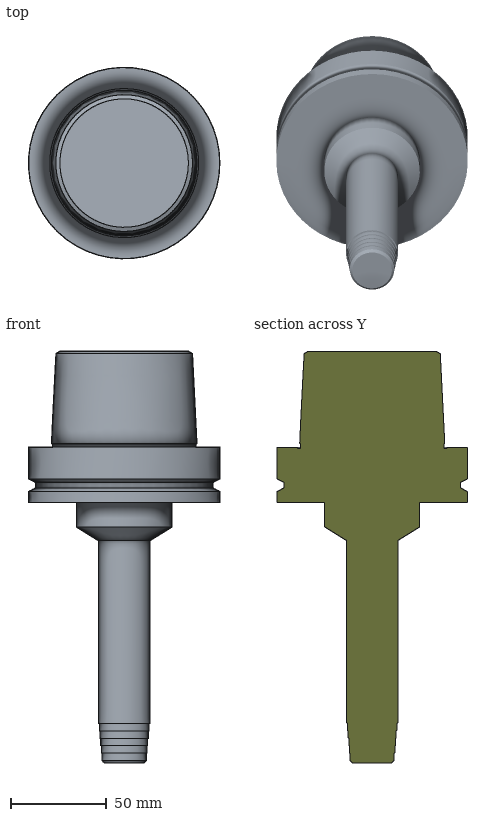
import cadquery as cq

total_height = 215.0

spigot_length = 50.0
spigot_top_radius = 35.7
taper_per_length = 1 / 20
top_chamfer_width = 2.1
top_chamfer_height = 1.3
relief_height = 2.0
relief_depth = 0.5
face_groove_radius = 39.0
face_groove_depth = 0.6

flange_diameter = 100.0
flange_height = 29.0
groove_top_offset = 16.5
groove_width = 6.7
groove_depth = 3.7
groove_flank_height = 2.0

neck_radius = 25.0
neck_length = 12.7
neck_cone_height = 7.0

shank_radius = 13.5
tip_end_radius = 11.5
tip_ring_count = 5
tip_ring_height = 3.9
tip_ring_step = 0.35
tip_chamfer_height = 1.3
tip_chamfer_width = 1.3

flange_radius = flange_diameter / 2
flange_top = total_height - spigot_length
flange_bottom = flange_top - flange_height
neck_bottom = flange_bottom - neck_length
neck_cone_bottom = neck_bottom - neck_cone_height


def tip_outline():
    """Chamfered end, then equal rings that each step out a little, up to the shank shoulder."""
    points = [(0, 0), (tip_end_radius - tip_chamfer_width, 0)]
    for ring in range(tip_ring_count):
        radius = tip_end_radius + ring * tip_ring_step
        bottom = tip_chamfer_height + ring * tip_ring_height
        points.append((radius, bottom))
        points.append((radius, bottom + tip_ring_height))
    points.append((shank_radius, tip_chamfer_height + tip_ring_count * tip_ring_height))
    return points


def shank_and_neck_outline():
    """Plain shank widening through a cone into the neck."""
    return [
        (shank_radius, neck_cone_bottom),
        (neck_radius, neck_bottom),
        (neck_radius, flange_bottom),
    ]


def flange_outline():
    """Flange rim with the gripper groove, then the ring groove in its top face."""
    groove_top = flange_top - groove_top_offset
    groove_bottom = groove_top - groove_width
    groove_radius = flange_radius - groove_depth
    return [
        (flange_radius, flange_bottom),
        (flange_radius, groove_bottom),
        (groove_radius, groove_bottom + groove_flank_height),
        (groove_radius, groove_top - groove_flank_height),
        (flange_radius, groove_top),
        (flange_radius, flange_top),
        (face_groove_radius, flange_top),
        (face_groove_radius, flange_top - face_groove_depth),
    ]


def spigot_outline():
    """Relief at the root, the long taper and the top chamfer."""
    taper_top = total_height - top_chamfer_height
    taper_bottom = flange_top + relief_height
    base_radius = spigot_top_radius + (taper_top - taper_bottom) * taper_per_length
    relief_radius = base_radius - relief_depth
    return [
        (relief_radius, flange_top - face_groove_depth),
        (relief_radius, taper_bottom - relief_depth),
        (base_radius, taper_bottom),
        (spigot_top_radius, taper_top),
        (spigot_top_radius - top_chamfer_width, total_height),
        (0, total_height),
    ]


outline = tip_outline() + shank_and_neck_outline() + flange_outline() + spigot_outline()
result = cq.Workplane("XZ").polyline(outline).close().revolve(360, (0, 0, 0), (0, 1, 0))